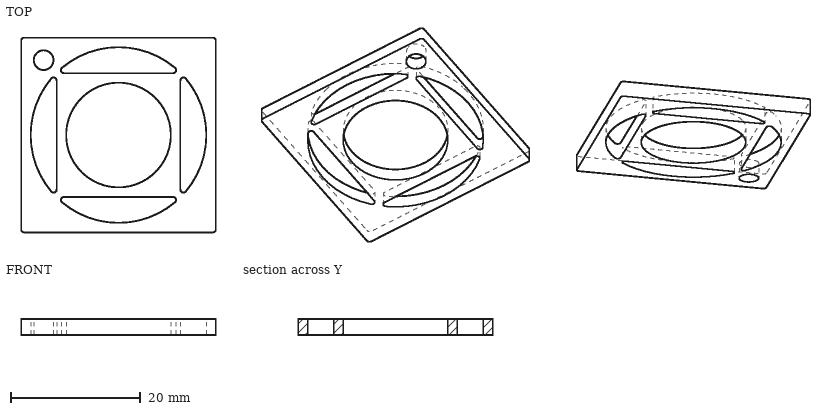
import cadquery as cq
import math

side = 30.0
thickness = 2.5
corner_radius = 0.5

bore_diameter = 16.08
pin_hole_diameter = 3.0
pin_hole_inset = 3.48

window_arc_radius = 13.5
window_flat_offset = 9.55
window_tip_radius = 0.45
window_count = 4


def make_window(angle):
    """Cutter bounded by a chord and an arc, with rounded tips, turned about Z."""
    half_chord = math.sqrt(window_arc_radius**2 - window_flat_offset**2)
    return (
        cq.Workplane("XY")
        .moveTo(-half_chord, window_flat_offset)
        .threePointArc((0, window_arc_radius), (half_chord, window_flat_offset))
        .close()
        .extrude(thickness)
        .edges("|Z")
        .fillet(window_tip_radius)
        .rotate((0, 0, 0), (0, 0, 1), angle)
    )


plate = (
    cq.Workplane("XY")
    .rect(side, side)
    .extrude(thickness)
    .edges("|Z")
    .fillet(corner_radius)
)

bore = cq.Workplane("XY").circle(bore_diameter / 2).extrude(thickness)

pin_hole_offset = side / 2 - pin_hole_inset
pin_hole = (
    cq.Workplane("XY")
    .center(-pin_hole_offset, pin_hole_offset)
    .circle(pin_hole_diameter / 2)
    .extrude(thickness)
)

result = plate.cut(bore).cut(pin_hole)
for index in range(window_count):
    result = result.cut(make_window(index * 360 / window_count))